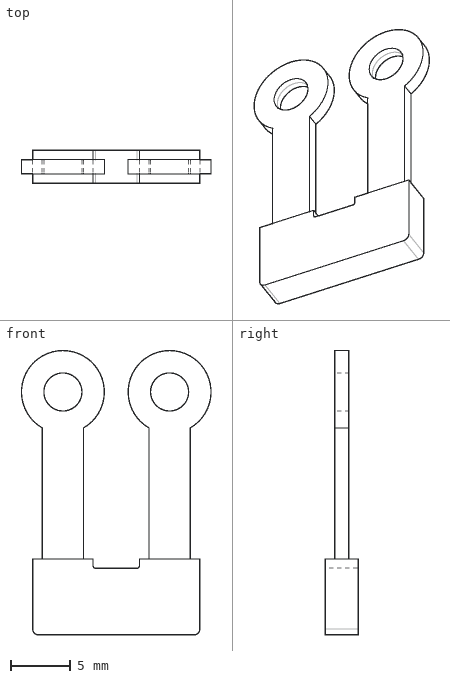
import cadquery as cq

housing_length = 14.1
housing_depth = 2.8
housing_height = 6.4
bottom_corner_radius = 0.5

notch_width = 3.9
notch_depth = 0.77
notch_fillet_radius = 0.2

overall_height = 24.0
terminal_spacing = 9.0
terminal_thickness = 1.2
blade_width = 3.5
ring_diameter = 7.0
ring_hole_diameter = 3.2
ring_center_z = overall_height - ring_diameter / 2


def make_housing():
    """Block with rounded lower corners and a notch with a filleted floor."""
    body = cq.Workplane("XY").box(
        housing_length, housing_depth, housing_height, centered=(True, True, False)
    )
    body = body.faces("<Z").edges("|Y").fillet(bottom_corner_radius)
    notch = (
        cq.Workplane("XY")
        .workplane(offset=housing_height - notch_depth)
        .box(notch_width, housing_depth, notch_depth, centered=(True, True, False))
        .faces("<Z")
        .edges("|Y")
        .fillet(notch_fillet_radius)
    )
    return body.cut(notch)


def make_terminal(center_x):
    """Blade standing on the housing top, with a ring at its upper end."""
    blade_length = ring_center_z - housing_height
    blade = (
        cq.Workplane("XY")
        .workplane(offset=housing_height)
        .center(center_x, 0)
        .box(blade_width, terminal_thickness, blade_length, centered=(True, True, False))
    )
    ring_plane = cq.Workplane("XZ").center(center_x, ring_center_z)
    ring = ring_plane.circle(ring_diameter / 2).extrude(terminal_thickness / 2, both=True)
    hole = ring_plane.circle(ring_hole_diameter / 2).extrude(terminal_thickness, both=True)
    return blade.union(ring).cut(hole)


housing = make_housing()
terminals = [make_terminal(side * terminal_spacing / 2) for side in (-1, 1)]

result = cq.Compound.makeCompound(
    [housing.val(), *[terminal.val() for terminal in terminals]]
)